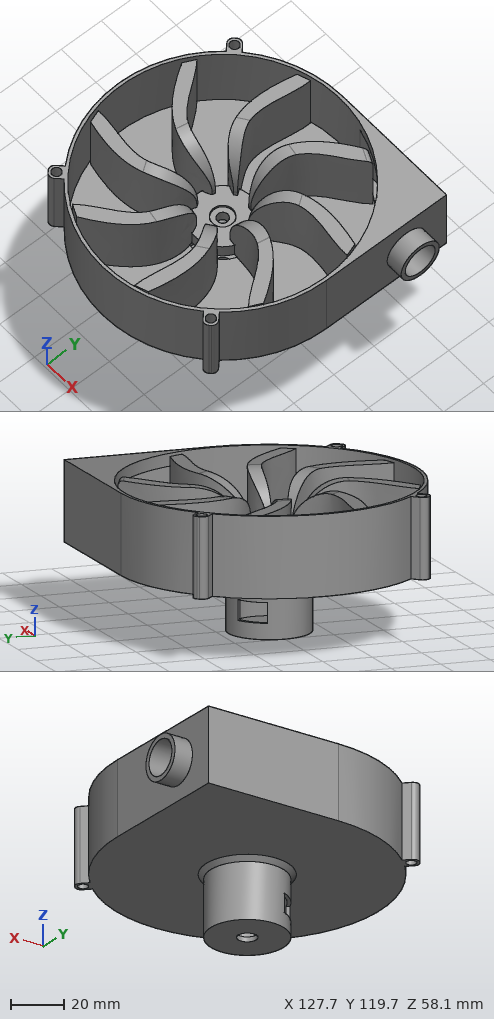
import cadquery as cq
import math


HOUSING_DIAMETER = 119.7
HOUSING_RADIUS = HOUSING_DIAMETER / 2
HOUSING_HEIGHT = 32.0
CAVITY_DIAMETER = 117.0
FLOOR_THICKNESS = 2.0

POCKET_WALL = 3.0
POCKET_FLOOR = 2.5
POCKET_LID = 5.0

NOZZLE_DIAMETER = 19.0
NOZZLE_BORE = 15.0
NOZZLE_LENGTH = 8.0
NOZZLE_Y = 39.7

LUG_ANGLES = (135, 225, 315)
LUG_WIDTH = 6.0
LUG_END_RADIUS = 66.1
LUG_CORNER_RADIUS = 2.5
LUG_HOLE_RADIUS = 62.9
LUG_HOLE_DIAMETER = 4.2

TUBE_DIAMETER = 33.0
TUBE_BORE = 30.0
TUBE_LENGTH = 26.1
TUBE_CHAMFER = 2.0
TUBE_END_THICKNESS = FLOOR_THICKNESS
TUBE_END_HOLE = 8.0

WINDOW_ANGLE = 135
WINDOW_WIDTH = 12.0
WINDOW_HEIGHT = 8.0
WINDOW_ABOVE_TUBE_END = 6.4

HUB_DIAMETER = 28.1
HUB_HEIGHT = 6.0
HUB_BOTTOM = 3.1
HUB_BORE = 5.0
HUB_RECESS_DIAMETER = 10.0
HUB_RECESS_DEPTH = 1.0

BLADE_COUNT = 8
BLADE_TOP = 31.0
BLADE_NOSE_RADIUS = 20.0
BLADE_NOSE_ANGLE = 80
BLADE_NOSE_START = 10.5
BLADE_TIP_FILLET = 2.0
CONVEX_SIDE = [(3.5, 10.0), (0.6, 21.1), (2.8, 30.3), (8.3, 38.7), (14.0, 44.3), (24.4, 51.8)]
CONCAVE_SIDE = [(4.9, 9.6), (5.9, 18.5), (8.3, 29.4), (11.5, 33.9), (20.5, 41.4), (29.8, 49.2)]


def cylinder(diameter, bottom, height):
    """Upright cylinder on the Z axis."""
    return cq.Workplane().workplane(offset=bottom).circle(diameter / 2).extrude(height)


def corner_block(side, bottom, height):
    """Square block from the Z axis out to the +X +Y corner."""
    return cq.Workplane().box(side, side, height, centered=False).translate((0, 0, bottom))


def make_lug(angle):
    """Rounded screw lug that runs from the housing wall outward, without its hole."""
    start = CAVITY_DIAMETER / 2
    length = LUG_END_RADIUS - start
    lug = cq.Workplane().box(length, LUG_WIDTH, HOUSING_HEIGHT, centered=(False, True, False))
    lug = lug.edges("|Z and >X").fillet(LUG_CORNER_RADIUS)
    root = cq.Workplane().box(LUG_WIDTH, LUG_WIDTH, HOUSING_HEIGHT, centered=(True, True, False))
    return lug.union(root).translate((start, 0, 0)).rotate((0, 0, 0), (0, 0, 1), angle)


def make_motor_tube():
    """Solid motor tube with a conical flare where it meets the floor."""
    radius = TUBE_DIAMETER / 2
    flare = radius + TUBE_CHAMFER
    return (
        cq.Workplane("XZ")
        .moveTo(0, -TUBE_LENGTH)
        .lineTo(radius, -TUBE_LENGTH)
        .lineTo(radius, -TUBE_CHAMFER)
        .lineTo(flare, 0)
        .lineTo(flare, FLOOR_THICKNESS)
        .lineTo(0, FLOOR_THICKNESS)
        .close()
        .revolve()
    )


def make_window():
    """Cutter for the cable window, reaching from the tube axis out through one wall."""
    return (
        cq.Workplane()
        .box(TUBE_DIAMETER, WINDOW_WIDTH, WINDOW_HEIGHT, centered=(False, True, False))
        .translate((0, 0, WINDOW_ABOVE_TUBE_END - TUBE_LENGTH))
        .rotate((0, 0, 0), (0, 0, 1), WINDOW_ANGLE)
    )


def make_housing():
    body = cylinder(HOUSING_DIAMETER, 0, HOUSING_HEIGHT)
    body = body.union(corner_block(HOUSING_RADIUS, 0, HOUSING_HEIGHT))
    for angle in LUG_ANGLES:
        body = body.union(make_lug(angle))
    body = body.union(make_motor_tube())

    nozzle_plane = cq.Plane((HOUSING_RADIUS, NOZZLE_Y, HOUSING_HEIGHT / 2), xDir=(0, 1, 0), normal=(1, 0, 0))
    body = body.union(cq.Workplane(nozzle_plane).circle(NOZZLE_DIAMETER / 2).extrude(NOZZLE_LENGTH))

    body = body.cut(cylinder(CAVITY_DIAMETER, FLOOR_THICKNESS, HOUSING_HEIGHT))
    pocket_height = HOUSING_HEIGHT - POCKET_LID - POCKET_FLOOR
    body = body.cut(corner_block(HOUSING_RADIUS - POCKET_WALL, POCKET_FLOOR, pocket_height))
    outlet = cq.Workplane(nozzle_plane).workplane(offset=-POCKET_WALL).circle(NOZZLE_BORE / 2)
    body = body.cut(outlet.extrude(POCKET_WALL + NOZZLE_LENGTH))

    body = body.cut(cylinder(TUBE_BORE, TUBE_END_THICKNESS - TUBE_LENGTH, TUBE_LENGTH))
    body = body.cut(cylinder(TUBE_END_HOLE, -TUBE_LENGTH, TUBE_END_THICKNESS))
    body = body.cut(make_window())

    for angle in LUG_ANGLES:
        hole = cylinder(LUG_HOLE_DIAMETER, 0, HOUSING_HEIGHT).translate((LUG_HOLE_RADIUS, 0, 0))
        body = body.cut(hole.rotate((0, 0, 0), (0, 0, 1), angle))
    return body


def make_hub():
    hub_top = HUB_BOTTOM + HUB_HEIGHT
    hub = cylinder(HUB_DIAMETER, HUB_BOTTOM, HUB_HEIGHT)
    hub = hub.cut(cylinder(HUB_BORE, HUB_BOTTOM, HUB_HEIGHT))
    return hub.cut(cylinder(HUB_RECESS_DIAMETER, hub_top - HUB_RECESS_DEPTH, HUB_RECESS_DEPTH))


def make_nose_cutter():
    """Cutter that gives the hub end of a blade its upright face and large top rounding."""
    shoulder = BLADE_NOSE_START + BLADE_NOSE_RADIUS
    middle = BLADE_NOSE_RADIUS * (1 - math.sqrt(0.5))
    return (
        cq.Workplane("XZ")
        .moveTo(0, HUB_BOTTOM)
        .lineTo(BLADE_NOSE_START, HUB_BOTTOM)
        .lineTo(BLADE_NOSE_START, BLADE_TOP - BLADE_NOSE_RADIUS)
        .threePointArc((BLADE_NOSE_START + middle, BLADE_TOP - middle), (shoulder, BLADE_TOP))
        .lineTo(shoulder, HOUSING_HEIGHT)
        .lineTo(0, HOUSING_HEIGHT)
        .close()
        .extrude(HUB_DIAMETER / 2, both=True)
        .rotate((0, 0, 0), (0, 0, 1), BLADE_NOSE_ANGLE)
    )


def make_blade(angle, round_tip):
    """Curved blade that stands on the hub top and passes down beside the hub."""
    blade = (
        cq.Workplane()
        .workplane(offset=HUB_BOTTOM)
        .spline(CONVEX_SIDE)
        .lineTo(*CONCAVE_SIDE[-1])
        .spline(CONCAVE_SIDE[-2::-1], includeCurrent=True)
        .close()
        .extrude(BLADE_TOP - HUB_BOTTOM)
    )
    if round_tip:
        tip_x = (CONVEX_SIDE[-1][0] + CONCAVE_SIDE[-1][0]) / 2
        tip_y = (CONVEX_SIDE[-1][1] + CONCAVE_SIDE[-1][1]) / 2
        tip_edge = cq.selectors.NearestToPointSelector((tip_x, tip_y, BLADE_TOP))
        blade = blade.edges(tip_edge).fillet(BLADE_TIP_FILLET)
    blade = blade.cut(make_nose_cutter())
    blade = blade.cut(cylinder(HUB_DIAMETER, HUB_BOTTOM, HUB_HEIGHT))
    return blade.rotate((0, 0, 0), (0, 0, 1), angle)


housing = make_housing()
hub = make_hub()
blades = [make_blade(i * 360 / BLADE_COUNT, round_tip=(i == 0)) for i in range(BLADE_COUNT)]

result = cq.Compound.makeCompound([part.solids().val() for part in [housing, hub, *blades]])